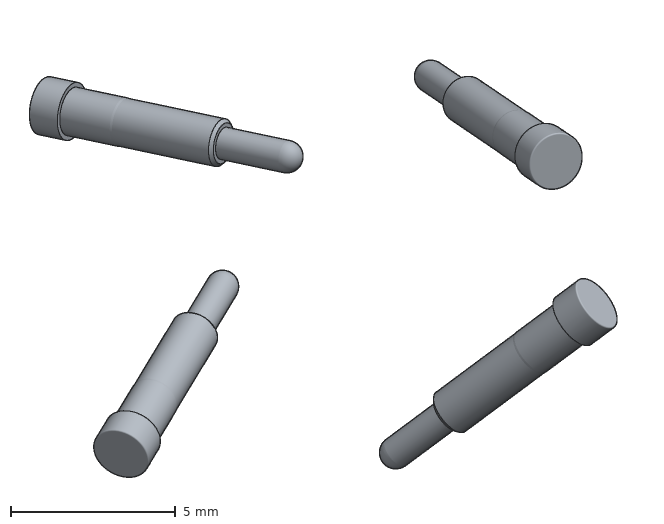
import cadquery as cq

total_length = 9.0

flange_diameter = 1.8
flange_length = 1.0
flange_edge_fillet = 0.045

rear_barrel_diameter = 1.5
front_barrel_diameter = 1.485
step_start = 2.75
step_length = 0.07
barrel_end = 6.3
barrel_chamfer = 0.11

plunger_diameter = 1.0

flange_radius = flange_diameter / 2
rear_radius = rear_barrel_diameter / 2
front_radius = front_barrel_diameter / 2
plunger_radius = plunger_diameter / 2
tip_start = total_length - plunger_radius

profile = (
    cq.Workplane("XY")
    .lineTo(0, flange_radius - flange_edge_fillet)
    .radiusArc((flange_edge_fillet, flange_radius), flange_edge_fillet)
    .lineTo(flange_length, flange_radius)
    .lineTo(flange_length, rear_radius)
    .lineTo(step_start, rear_radius)
    .lineTo(step_start + step_length, front_radius)
    .lineTo(barrel_end - barrel_chamfer, front_radius)
    .lineTo(barrel_end, front_radius - barrel_chamfer)
    .lineTo(barrel_end, plunger_radius)
    .lineTo(tip_start, plunger_radius)
    .radiusArc((total_length, 0), plunger_radius)
    .close()
)

result = profile.revolve(360, (0, 0, 0), (1, 0, 0))